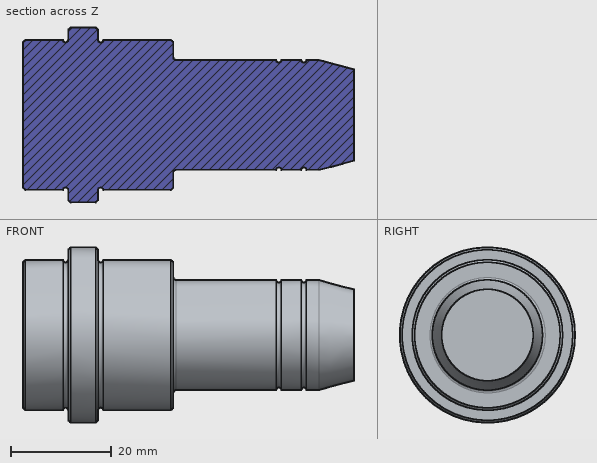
import cadquery as cq
import math

total_length = 66.0
body_radius = 30.0 / 2
flange_radius = 35.0 / 2
stem_radius = 22.0 / 2

flange_start = 9.0
flange_width = 6.0
flange_end = flange_start + flange_width
shoulder_x = 30.0

edge_chamfer = 0.5
stem_root_fillet = 0.5

groove_radius = 0.5
stem_groove_centers = [51.0, 56.0]
body_groove_centers = [flange_start - groove_radius, flange_end + groove_radius]

taper_length = 7.0
taper_angle = 15.0
taper_start = total_length - taper_length
tip_radius = stem_radius - taper_length * math.tan(math.radians(taper_angle))


def cylinder(start, end, radius):
    """Solid cylinder along X between two stations."""
    return cq.Workplane("YZ", origin=(start, 0, 0)).circle(radius).extrude(end - start)


def make_stem():
    """Stem with a conical tip and a fillet flaring into the shoulder."""
    root_end = shoulder_x + stem_root_fillet
    root_radius = stem_radius + stem_root_fillet
    fillet_middle = stem_root_fillet * (1 - math.sqrt(0.5))
    return (
        cq.Workplane("XY")
        .moveTo(shoulder_x, 0)
        .lineTo(shoulder_x, root_radius)
        .threePointArc(
            (shoulder_x + fillet_middle, stem_radius + fillet_middle),
            (root_end, stem_radius),
        )
        .lineTo(taper_start, stem_radius)
        .lineTo(total_length, tip_radius)
        .lineTo(total_length, 0)
        .close()
        .revolve(360, (0, 0, 0), (1, 0, 0))
    )


def groove_cutter(center_x, surface_radius):
    """Torus that cuts a half-round groove into a cylindrical surface."""
    return (
        cq.Workplane("XY")
        .center(center_x, surface_radius)
        .circle(groove_radius)
        .revolve(360, (0, -surface_radius, 0), (1, -surface_radius, 0))
    )


body = cylinder(0, shoulder_x, body_radius).edges().chamfer(edge_chamfer)
for groove_x in body_groove_centers:
    body = body.cut(groove_cutter(groove_x, body_radius))

stem = make_stem()
for groove_x in stem_groove_centers:
    stem = stem.cut(groove_cutter(groove_x, stem_radius))

flange = cylinder(flange_start, flange_end, flange_radius)
flange = flange.faces("<X or >X").edges().chamfer(edge_chamfer)

result = body.union(flange).union(stem)